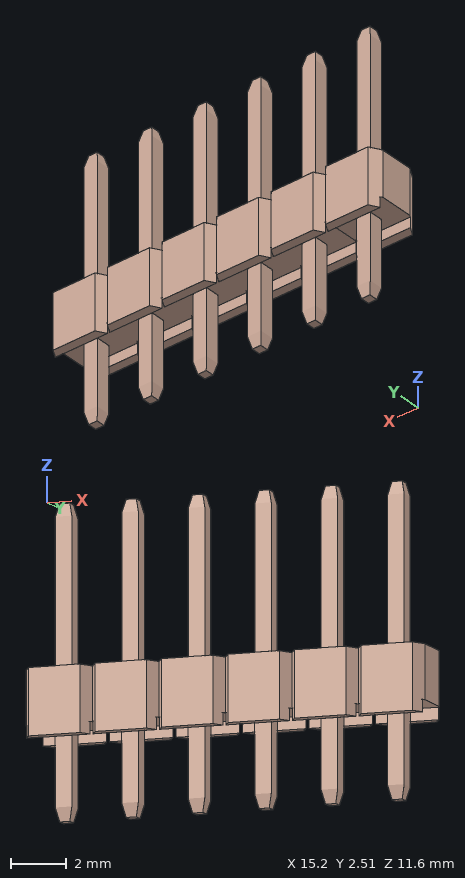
import cadquery as cq


total_length = 15.24
pin_count = 6
end_section_pins = 1
pitch = total_length / pin_count

housing_depth = 2.51
housing_height = 2.5
corner_cut_x = 0.29
corner_cut_y = 0.5
channel_width = 1.69
channel_height = 0.45

pin_width = 0.64
pin_above_housing = 6.1
pin_below_housing = 3.0
tip_length = 0.5
tip_width = 0.4


def housing_cell(center_x):
    """One pitch of housing: a block with its four upright corners cut off."""
    x_end = pitch / 2
    x_flat = x_end - corner_cut_x
    y_side = housing_depth / 2
    y_flat = y_side - corner_cut_y
    outline = [
        (x_end, -y_flat),
        (x_end, y_flat),
        (x_flat, y_side),
        (-x_flat, y_side),
        (-x_end, y_flat),
        (-x_end, -y_flat),
        (-x_flat, -y_side),
        (x_flat, -y_side),
    ]
    cell = cq.Workplane("XY").polyline(outline).close().extrude(housing_height)
    return cell.translate((center_x, 0, 0))


def underside_channel():
    """Channel along the whole underside that leaves a leg on each long side."""
    return cq.Workplane("XY").box(total_length, channel_width, channel_height, centered=(True, True, False))


def pin_tip(base_z, end_z):
    """Square taper from the full pin width at base_z to the tip width at end_z."""
    return (
        cq.Workplane("XY", origin=(0, 0, base_z))
        .rect(pin_width, pin_width)
        .workplane(offset=end_z - base_z)
        .rect(tip_width, tip_width)
        .loft(ruled=True)
    )


def pin(center_x):
    """Square pin with a tapered tip at both ends."""
    top_z = housing_height + pin_above_housing
    bottom_z = -pin_below_housing
    shank_top_z = top_z - tip_length
    shank_bottom_z = bottom_z + tip_length
    shank = (
        cq.Workplane("XY", origin=(0, 0, shank_bottom_z))
        .rect(pin_width, pin_width)
        .extrude(shank_top_z - shank_bottom_z)
    )
    whole_pin = shank.union(pin_tip(shank_top_z, top_z)).union(pin_tip(shank_bottom_z, bottom_z))
    return whole_pin.translate((center_x, 0, 0))


def header_section(first_position, last_position):
    """Housing cells and pins for a run of positions, joined into one solid."""
    centers = [
        pitch * position + (pitch - total_length) / 2
        for position in range(first_position, last_position + 1)
    ]
    section = housing_cell(centers[0])
    for center_x in centers[1:]:
        section = section.union(housing_cell(center_x))
    section = section.cut(underside_channel())
    for center_x in centers:
        section = section.union(pin(center_x))
    return section.clean().solids()


end_section = header_section(0, end_section_pins - 1)
strip_section = header_section(end_section_pins, pin_count - 1)

result = cq.Compound.makeCompound([end_section.val(), strip_section.val()])